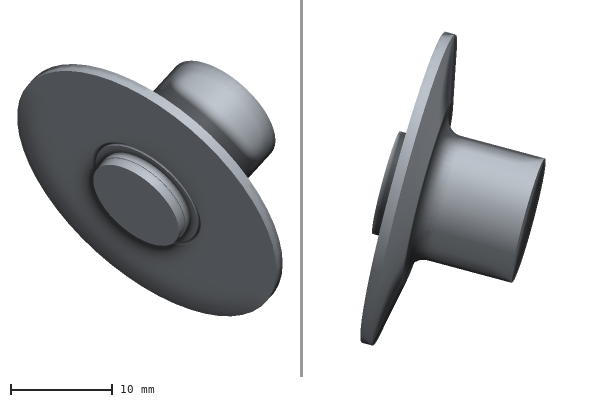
import cadquery as cq

flange_radius = 15.8
rim_thickness = 1.05
flange_thickness = 2.45
flat_radius = 9.33
hub_radius = 6.32
hub_end = 12.7
root_fillet = 1.75

recess_radius = 6.32
recess_depth = flange_thickness
mouth_chamfer = 0.3

ring_radius = 6.23
sleeve_radius = 5.3
sleeve_projection = 0.75
pin_radius = 5.22
pin_projection = 1.77


def disc(radius, front):
    """Solid cylinder about the Y axis, from Y = front back to the recess floor."""
    return cq.Workplane("XZ", origin=(0, front, 0)).circle(radius).extrude(front - recess_depth)


def tube(outer_radius, inner_radius, front):
    """Hollow cylinder from Y = front back to the recess floor."""
    return disc(outer_radius, front).cut(disc(inner_radius, front))


def make_housing():
    """Flange with a tapered back, a filleted hub and a chamfered recess."""
    profile = (
        cq.Workplane("XY")
        .moveTo(0, recess_depth)
        .lineTo(recess_radius, recess_depth)
        .lineTo(recess_radius, mouth_chamfer)
        .lineTo(recess_radius + mouth_chamfer, 0)
        .lineTo(flange_radius, 0)
        .lineTo(flange_radius, rim_thickness)
        .lineTo(flat_radius, flange_thickness)
        .lineTo(hub_radius + root_fillet, flange_thickness)
        .radiusArc((hub_radius, flange_thickness + root_fillet), root_fillet)
        .lineTo(hub_radius, hub_end)
        .lineTo(0, hub_end)
        .close()
    )
    return profile.revolve(360, (0, 0, 0), (0, 1, 0))


def make_seal():
    """Thin outer layer between recess and ring, ending at the foot of the chamfer."""
    return tube(recess_radius, ring_radius, mouth_chamfer)


def make_ring():
    """Wide ring whose front is flush with the flange face."""
    return tube(ring_radius, sleeve_radius, 0)


def make_sleeve():
    """Thin layer around the pin that stands out from the flange face."""
    return tube(sleeve_radius, pin_radius, -sleeve_projection)


def make_pin():
    """Solid centre pin that projects beyond the sleeve."""
    return disc(pin_radius, -pin_projection)


housing = make_housing()
seal = make_seal()
ring = make_ring()
sleeve = make_sleeve()
pin = make_pin()

result = cq.Compound.makeCompound([housing.val(), seal.val(), ring.val(), sleeve.val(), pin.val()])